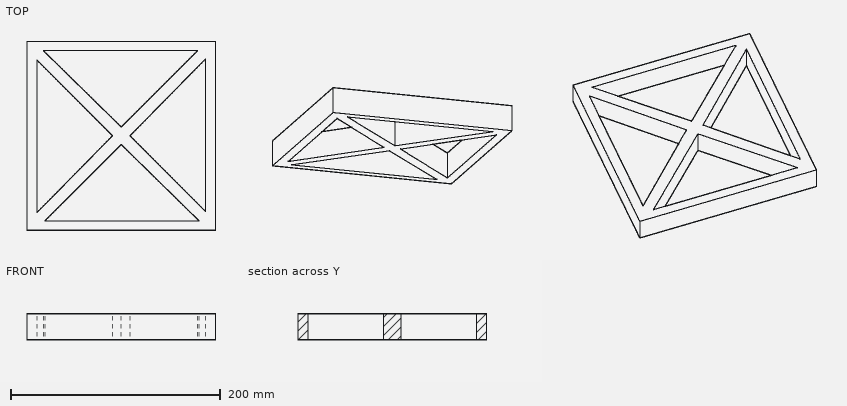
import cadquery as cq

SIDE = 180.0
HEIGHT = 25.0

X_WALL = 9.8
Y_WALL = 9.0
INNER_X = SIDE / 2 - X_WALL
INNER_Y = SIDE / 2 - Y_WALL

TIP_OFFSET = 8.45

Y_WALL_BASE_LONG = 74.0
Y_WALL_BASE_SHORT = 72.6
X_WALL_BASE_LONG = 73.0
X_WALL_BASE_SHORT = 72.0


def window(points):
    """Triangular cutter through the full height."""
    return cq.Workplane("XY").polyline(points).close().extrude(HEIGHT)


top_window = window([
    (-Y_WALL_BASE_LONG, INNER_Y),
    (Y_WALL_BASE_SHORT, INNER_Y),
    (0, TIP_OFFSET),
])
right_window = window([
    (INNER_X, X_WALL_BASE_LONG),
    (INNER_X, -X_WALL_BASE_SHORT),
    (TIP_OFFSET, 0),
])

result = cq.Workplane("XY").rect(SIDE, SIDE).extrude(HEIGHT)

for angle in (0, 180):
    for cutter in (top_window, right_window):
        result = result.cut(cutter.rotate((0, 0, 0), (0, 0, 1), angle))